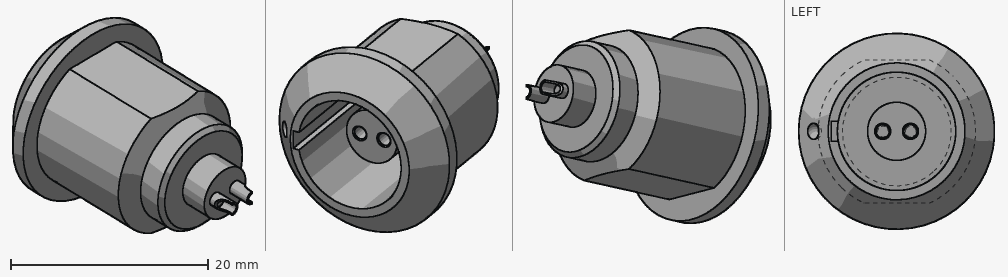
import cadquery as cq
import math

FLANGE_CONE_END = 3.0
FLANGE_BACK = 4.52
BODY_END = 16.29
NECK_START = 17.5
NECK_END = 20.5
INSERT_END = 23.6
PIN_END = 26.1

FLANGE_RADIUS = 9.95
FRONT_FACE_RADIUS = FLANGE_RADIUS - FLANGE_CONE_END
BODY_RADIUS = 7.99
FLAT_HEIGHT = 7.25
NECK_RADIUS = 6.0
NECK_CHAMFER = 0.5

BORE_RADIUS = NECK_RADIUS
BORE_DEPTH = 15.0
KEYWAY_DEPTH = 12.0
KEYWAY_WIDTH = 2.0
KEYWAY_REACH = 6.6

INSERT_FRONT = FLANGE_BACK
INSERT_RADIUS = 2.95

CONTACT_OFFSET = 1.4
SOCKET_RADIUS = 0.68
SOCKET_RIM_RADIUS = 0.8
SOCKET_DEPTH = 3.92
PIN_RADIUS = 0.75
CUP_RADIUS = 0.55
SCOOP_START = 24.3
SCOOP_END = 25.7

DIMPLE_RADIUS = 0.8

OVERSHOOT = 0.25


def rod(start, end, radius, y=0.0):
    """Cylinder along X between two stations."""
    return cq.Workplane("YZ", origin=(start, y, 0)).circle(radius).extrude(end - start)


def make_shell():
    """Turned flange, body and neck with two flats along the body."""
    profile = [
        (0, 0),
        (0, FRONT_FACE_RADIUS),
        (FLANGE_CONE_END, FLANGE_RADIUS),
        (FLANGE_BACK, FLANGE_RADIUS),
        (FLANGE_BACK, BODY_RADIUS),
        (BODY_END, BODY_RADIUS),
        (NECK_START, NECK_RADIUS),
        (NECK_END - NECK_CHAMFER, NECK_RADIUS),
        (NECK_END, NECK_RADIUS - NECK_CHAMFER),
        (NECK_END, 0),
    ]
    shell = cq.Workplane("XY").polyline(profile).close().revolve(360, (0, 0, 0), (1, 0, 0))

    flat_length = NECK_START - FLANGE_BACK
    flat_depth = BODY_RADIUS - FLAT_HEIGHT + OVERSHOOT
    for side in (-1, 1):
        slab = cq.Workplane("XY").box(flat_length, 2 * BODY_RADIUS, flat_depth)
        slab_z = side * (FLAT_HEIGHT + flat_depth / 2)
        shell = shell.cut(slab.translate((FLANGE_BACK + flat_length / 2, 0, slab_z)))
    return shell


def make_cavity():
    """Front bore with a straight keyway on its +Y side."""
    keyway = cq.Workplane("XY").box(KEYWAY_DEPTH, KEYWAY_REACH, KEYWAY_WIDTH)
    keyway = keyway.translate((KEYWAY_DEPTH / 2, KEYWAY_REACH / 2, 0))
    return rod(0, BORE_DEPTH, BORE_RADIUS).union(keyway)


def make_dimple():
    """Ball centred halfway along the flange cone on the +Y side."""
    cone_mid_radius = (FRONT_FACE_RADIUS + FLANGE_RADIUS) / 2
    return cq.Workplane("XY").sphere(DIMPLE_RADIUS).translate((FLANGE_CONE_END / 2, cone_mid_radius, 0))


def make_socket(side):
    """Contact hole with a small countersink in the front of the insert."""
    rim_depth = SOCKET_RIM_RADIUS - SOCKET_RADIUS
    profile = [
        (INSERT_FRONT, 0),
        (INSERT_FRONT, SOCKET_RIM_RADIUS),
        (INSERT_FRONT + rim_depth, SOCKET_RADIUS),
        (INSERT_FRONT + SOCKET_DEPTH, SOCKET_RADIUS),
        (INSERT_FRONT + SOCKET_DEPTH, 0),
    ]
    socket = cq.Workplane("XY").polyline(profile).close().revolve(360, (0, 0, 0), (1, 0, 0))
    return socket.translate((0, side * CONTACT_OFFSET, 0))


def make_solder_pin(side):
    """Rear pin with a solder cup whose outer half is scooped away along an arc."""
    pin_y = side * CONTACT_OFFSET
    pin = rod(INSERT_END, PIN_END, PIN_RADIUS, pin_y)
    cup = rod(SCOOP_START, PIN_END, CUP_RADIUS, pin_y)

    scoop_length = SCOOP_END - SCOOP_START
    scoop_radius = (scoop_length**2 + PIN_RADIUS**2) / (2 * PIN_RADIUS)
    half_angle = math.asin(scoop_length / scoop_radius) / 2
    arc_mid_x = SCOOP_END - scoop_radius * math.sin(half_angle)
    arc_mid_y = pin_y + side * scoop_radius * (1 - math.cos(half_angle))
    outer_y = pin_y + side * PIN_RADIUS
    scoop = (
        cq.Workplane("XY", origin=(0, 0, -PIN_RADIUS))
        .moveTo(SCOOP_START, outer_y)
        .threePointArc((arc_mid_x, arc_mid_y), (SCOOP_END, pin_y))
        .lineTo(PIN_END, pin_y)
        .lineTo(PIN_END, outer_y)
        .close()
        .extrude(2 * PIN_RADIUS)
    )
    return pin.cut(cup).cut(scoop)


result = make_shell().cut(make_cavity()).cut(make_dimple())
result = result.union(rod(INSERT_FRONT, INSERT_END, INSERT_RADIUS))
for contact_side in (-1, 1):
    result = result.cut(make_socket(contact_side))
    result = result.union(make_solder_pin(contact_side))